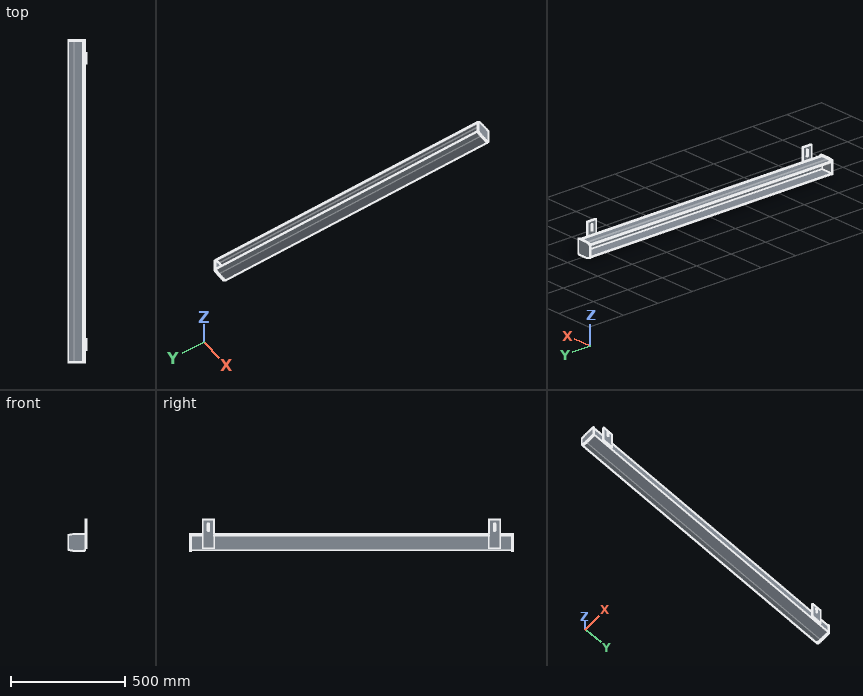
import cadquery as cq

total_length = 1412.7
total_height = 138.1
total_depth = 81.95

bracket_thickness = 6.4
bracket_width = 50.0
bracket_spacing = 1250.0
bracket_bottom = 12.0
slot_width = 6.5
slot_length = 33.0
slot_centre_height = 105.0

cap_thickness = 6.0
cap_depth = total_depth - bracket_thickness
cap_height = 75.5
cap_front_radius = 6.0
cap_bottom_back_radius = 8.0

housing_length = total_length - 2 * cap_thickness
housing_bottom = 3.0
housing_top = 75.0
wall = 3.0
taper_depth = 25.0
taper_height = 4.4
roof_end = 68.0
back_slope_drop = cap_depth - roof_end
cavity_back = roof_end - wall
window_bottom = 11.0
window_top = 65.2


def along_housing(points):
    """Extrude a closed XZ outline over the housing's length."""
    return cq.Workplane("XZ").polyline(points).close().extrude(housing_length / 2, both=True)


def make_housing():
    window = cq.Workplane("XY", origin=(0, 0, window_bottom)).box(
        wall, housing_length, window_top - window_bottom, centered=(False, True, False)
    )
    body = along_housing(
        [
            (taper_depth, housing_bottom),
            (0, housing_bottom + taper_height),
            (0, housing_top - taper_height),
            (taper_depth, housing_top),
            (roof_end, housing_top),
            (cap_depth, housing_top - back_slope_drop),
            (cap_depth, housing_bottom),
        ]
    )
    cavity = along_housing(
        [
            (wall, window_bottom),
            (wall, window_top),
            (taper_depth, housing_top - wall),
            (cavity_back, housing_top - wall),
            (cavity_back, window_bottom),
        ]
    )
    return body.cut(cavity).cut(window)


def make_cap(side):
    y_centre = side * (total_length - cap_thickness) / 2
    plate = (
        cq.Workplane("XZ", origin=(0, y_centre, 0))
        .moveTo(0, taper_height)
        .lineTo(0, cap_height - taper_height)
        .lineTo(taper_depth, cap_height)
        .lineTo(cap_depth, cap_height)
        .lineTo(cap_depth, cap_bottom_back_radius)
        .radiusArc((cap_depth - cap_bottom_back_radius, 0), cap_bottom_back_radius)
        .lineTo(taper_depth, 0)
        .close()
        .extrude(cap_thickness / 2, both=True)
    )
    return plate.edges("|Y and <X").fillet(cap_front_radius)


def make_bracket(side):
    y_centre = side * bracket_spacing / 2
    plate = cq.Workplane("XY", origin=(cap_depth, y_centre, bracket_bottom)).box(
        bracket_thickness, bracket_width, total_height - bracket_bottom, centered=(False, True, False)
    )
    slot = (
        cq.Workplane("YZ", origin=(cap_depth, y_centre, slot_centre_height))
        .slot2D(slot_length, slot_width, 90)
        .extrude(bracket_thickness)
    )
    return plate.cut(slot)


housing = make_housing()
caps = [make_cap(side) for side in (-1, 1)]
brackets = [make_bracket(side) for side in (-1, 1)]

result = cq.Compound.makeCompound(
    [housing.val(), *[cap.val() for cap in caps], *[bracket.val() for bracket in brackets]]
)